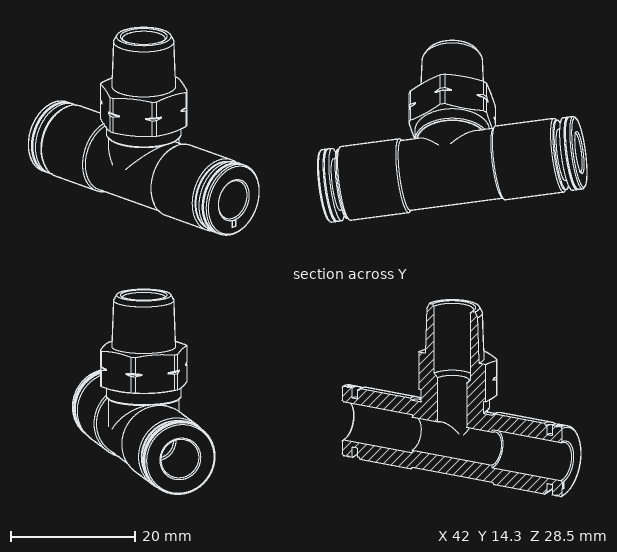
import cadquery as cq
import math


body_diameter = 11.4
sleeve_diameter = 12.0
sleeve_inner_end = 7.65
sleeve_outer_end = 18.05
sleeve_inner_chamfer = (sleeve_diameter - body_diameter) / 2
sleeve_rim_diameter = 11.3
sleeve_rim_width = 0.2
sleeve_outer_chamfer = 0.3

collar_diameter = 11.8
collar_neck_diameter = 8.35
collar_inner_end = 19.03
collar_outer_end = 20.95
collar_chamfer = 0.25
collar_groove_diameter = 11.6
collar_groove_width = 0.2
collar_groove_center = 19.85

through_diameter = 5.5
tube_diameter = 6.35
tube_mouth_diameter = 6.85
tube_mouth_chamfer = (tube_mouth_diameter - tube_diameter) / 2
tube_stop = sleeve_inner_end

pad_width = 0.85
pad_height = 1.1
pad_center_z = -4.0
pad_thickness = 0.1

flange_diameter = sleeve_diameter
flange_bottom = 5.6
flange_chamfer = 0.2
hex_bottom = 7.7
hex_top = 14.03
hex_across_flats = 12.8
hex_corner_diameter = 14.35
hex_face_diameter = 12.7
hex_chamfer_height = 0.25
nick_root_diameter = 13.52
nick_width = 0.5
nick_root_width = 0.15
branch_top = 22.5
thread_base_diameter = 10.3
thread_end_diameter = 9.75
thread_tip_diameter = 8.78
thread_tip_length = 0.9

branch_bore_diameter = 6.85
branch_mouth_diameter = 7.5
branch_mouth_chamfer = (branch_mouth_diameter - branch_bore_diameter) / 2
branch_cone_top = 10.9
branch_cone_depth = (branch_bore_diameter - through_diameter) / 2


def turned_z(profile):
    """Solid of revolution about Z from (diameter, z) pairs, listed upward."""
    points = [(0, profile[0][1])]
    points += [(diameter / 2, z) for diameter, z in profile]
    points += [(0, profile[-1][1])]
    return cq.Workplane("XZ").polyline(points).close().revolve(360, (0, 0), (0, 1))


def turned_run(half_profile):
    """Solid of revolution about X, symmetric about X = 0, from outward (diameter, x) pairs."""
    mirrored = [(diameter, -x) for diameter, x in reversed(half_profile)]
    return turned_z(mirrored + half_profile).rotate((0, 0, 0), (0, 1, 0), 90)


def run_outside():
    groove_start = collar_groove_center - collar_groove_width / 2
    groove_end = collar_groove_center + collar_groove_width / 2
    rim_start = sleeve_outer_end - sleeve_rim_width
    return turned_run([
        (body_diameter, sleeve_inner_end),
        (sleeve_diameter, sleeve_inner_end + sleeve_inner_chamfer),
        (sleeve_diameter, rim_start - sleeve_outer_chamfer),
        (sleeve_rim_diameter, rim_start),
        (sleeve_rim_diameter, sleeve_outer_end),
        (collar_neck_diameter, sleeve_outer_end),
        (collar_neck_diameter, collar_inner_end),
        (collar_diameter, collar_inner_end),
        (collar_diameter, groove_start),
        (collar_groove_diameter, groove_start),
        (collar_groove_diameter, groove_end),
        (collar_diameter, groove_end),
        (collar_diameter, collar_outer_end - collar_chamfer),
        (collar_diameter - 2 * collar_chamfer, collar_outer_end),
    ])


def run_bore():
    return turned_run([
        (through_diameter, tube_stop),
        (tube_diameter, tube_stop),
        (tube_diameter, collar_outer_end - tube_mouth_chamfer),
        (tube_mouth_diameter, collar_outer_end),
    ])


def end_pad():
    return (
        cq.Workplane("YZ", origin=(collar_outer_end, 0, pad_center_z))
        .rect(pad_width, pad_height)
        .extrude(pad_thickness)
    )


def nicked_hexagon():
    """Hexagon with corners on +Y and -Y, turned corners and a nick at mid height."""
    prism = (
        cq.Workplane("XY", origin=(0, 0, hex_bottom))
        .polygon(6, hex_across_flats / math.cos(math.pi / 6))
        .extrude(hex_top - hex_bottom)
        .rotate((0, 0, 0), (0, 0, 1), 90)
    )
    middle = (hex_bottom + hex_top) / 2
    envelope = turned_z([
        (hex_face_diameter, hex_bottom),
        (hex_corner_diameter, hex_bottom + hex_chamfer_height),
        (hex_corner_diameter, middle - nick_width / 2),
        (nick_root_diameter, middle - nick_root_width / 2),
        (nick_root_diameter, middle + nick_root_width / 2),
        (hex_corner_diameter, middle + nick_width / 2),
        (hex_corner_diameter, hex_top - hex_chamfer_height),
        (hex_face_diameter, hex_top),
    ])
    return prism.intersect(envelope)


def branch_stem():
    return turned_z([
        (body_diameter, 0),
        (body_diameter, flange_bottom),
        (flange_diameter - 2 * flange_chamfer, flange_bottom),
        (flange_diameter, flange_bottom + flange_chamfer),
        (flange_diameter, hex_bottom),
        (thread_base_diameter, hex_bottom),
        (thread_base_diameter, hex_top),
        (thread_end_diameter, branch_top - thread_tip_length),
        (thread_tip_diameter, branch_top),
    ])


def branch_bore():
    return turned_z([
        (through_diameter, 0),
        (through_diameter, branch_cone_top - branch_cone_depth),
        (branch_bore_diameter, branch_cone_top),
        (branch_bore_diameter, branch_top - branch_mouth_chamfer),
        (branch_mouth_diameter, branch_top),
    ])


outside = run_outside().union(branch_stem()).union(nicked_hexagon()).union(end_pad())
result = outside.cut(run_bore()).cut(branch_bore())